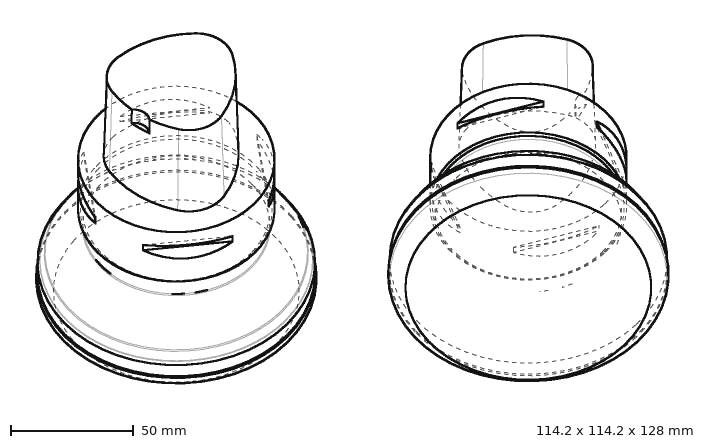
import cadquery as cq
import math

gauge_height = 80.04
shank_length = 48.0
top_height = gauge_height + shank_length

flange_radius = 80.0 / 2
flange_length = 30.0
flange_bottom = gauge_height - flange_length
flange_chamfer = 1.0
neck_radius = 76.0 / 2
neck_fillet = flange_radius - flange_chamfer - neck_radius
neck_bottom = 39.95
neck_blend = 1.0
shoulder_radius = 53.6
shoulder_height = 23.2
shoulder_blend = 2.0
rim_shoulder_radius = 55.5
rim_shoulder_height = 18.95
rim_shoulder_blend = 1.5
rim_radius = 112.93 / 2
rim_top = 17.6
select_margin = 0.01

ring_top = 10.8
ring_radius = 114.2 / 2
ring_face_radius = 50.0
nose_radius = 2.5
lead_angle = math.radians(45)
nose_center_radius = ring_radius - nose_radius
nose_end_radius = nose_center_radius + nose_radius * math.cos(lead_angle)
nose_end_height = (nose_end_radius - ring_face_radius) * math.tan(lead_angle)
nose_center_height = nose_end_height + nose_radius * math.sin(lead_angle)
nose_start_height = nose_center_height + math.sqrt(nose_radius**2 - (rim_radius - nose_center_radius) ** 2)

lobe_count = 3
first_lobe_angle = 90.0
lobe_reach = 29.65
flank_reach = 25.2
lobe_radius = 16.4
taper_per_side = 1 / 40

notch_radius = 6.6
notch_axis_distance = 28.6
notch_length = 8.0

slot_count = 4
first_slot_angle = 45.0
slot_depth = 4.5
slot_floor_width = 3.1
slot_wall_angle = 30.0
slot_center_height = gauge_height - 12.0


def polar(distance, degrees):
    angle = math.radians(degrees)
    return cq.Vector(distance * math.cos(angle), distance * math.sin(angle), 0)


def make_revolved_holder():
    neck_top = flange_bottom - flange_chamfer
    fillet_inset = neck_fillet * (1 - math.cos(math.radians(45)))
    profile = (
        cq.Workplane("XZ")
        .moveTo(0, ring_top)
        .lineTo(rim_radius, ring_top)
        .lineTo(rim_radius, rim_top)
        .lineTo(rim_shoulder_radius, rim_shoulder_height)
        .lineTo(shoulder_radius, shoulder_height)
        .lineTo(neck_radius, neck_bottom)
        .lineTo(neck_radius, neck_top - neck_fillet)
        .threePointArc(
            (neck_radius + fillet_inset, neck_top - fillet_inset),
            (neck_radius + neck_fillet, neck_top),
        )
        .lineTo(flange_radius, flange_bottom)
        .lineTo(flange_radius, gauge_height)
        .lineTo(0, gauge_height)
        .close()
    )
    body = profile.revolve(360, (0, 0, 0), (0, 1, 0))
    for height, radius in (
        (neck_bottom, neck_blend),
        (shoulder_height, shoulder_blend),
        (rim_shoulder_height, rim_shoulder_blend),
    ):
        edge_at_height = cq.selectors.BoxSelector(
            (-ring_radius, -ring_radius, height - select_margin),
            (ring_radius, ring_radius, height + select_margin),
        )
        body = body.edges(edge_at_height).fillet(radius)
    return body


def make_shank():
    lobe_center = lobe_reach - lobe_radius
    gap = flank_reach - lobe_radius
    flank_center = (lobe_center**2 - gap**2) / (2 * gap - lobe_center)
    flank_radius = flank_reach + flank_center

    pitch = 360 / lobe_count

    def joint(lobe_angle, side):
        lobe = polar(lobe_center, lobe_angle)
        flank = polar(-flank_center, lobe_angle + side * pitch / 2)
        return flank + (lobe - flank).normalized() * flank_radius

    outline = cq.Workplane("XY", origin=(0, 0, gauge_height))
    start = joint(first_lobe_angle, -1)
    outline = outline.moveTo(start.x, start.y)
    for index in range(lobe_count):
        angle = first_lobe_angle + index * pitch
        lobe_tip = polar(lobe_reach, angle)
        lobe_end = joint(angle, 1)
        flank_middle = polar(flank_reach, angle + pitch / 2)
        flank_end = joint(angle + pitch, -1)
        outline = outline.threePointArc(lobe_tip.toTuple()[:2], lobe_end.toTuple()[:2])
        outline = outline.threePointArc(flank_middle.toTuple()[:2], flank_end.toTuple()[:2])
    taper = math.degrees(math.atan(taper_per_side))
    return outline.close().extrude(shank_length, taper=taper)


def make_notch():
    return (
        cq.Workplane("XY", origin=(0, -notch_axis_distance, top_height - notch_length))
        .circle(notch_radius)
        .extrude(notch_length)
    )


def make_slot(angle):
    half_floor = slot_floor_width / 2
    half_mouth = half_floor + slot_depth * math.tan(math.radians(slot_wall_angle))
    floor_distance = flange_radius - slot_depth
    return (
        cq.Workplane("XZ", origin=(0, 0, slot_center_height))
        .polyline(
            [
                (floor_distance, -half_floor),
                (flange_radius, -half_mouth),
                (flange_radius, half_mouth),
                (floor_distance, half_floor),
            ]
        )
        .close()
        .extrude(flange_radius, both=True)
        .rotate((0, 0, 0), (0, 0, 1), angle)
    )


def make_holder():
    body = make_revolved_holder().union(make_shank()).cut(make_notch())
    for index in range(slot_count):
        body = body.cut(make_slot(first_slot_angle + index * 360 / slot_count))
    return body


def make_cutting_ring():
    return (
        cq.Workplane("XZ")
        .moveTo(0, 0)
        .lineTo(ring_face_radius, 0)
        .lineTo(nose_end_radius, nose_end_height)
        .threePointArc((ring_radius, nose_center_height), (rim_radius, nose_start_height))
        .lineTo(rim_radius, ring_top)
        .lineTo(0, ring_top)
        .close()
        .revolve(360, (0, 0, 0), (0, 1, 0))
    )


holder = make_holder()
cutting_ring = make_cutting_ring()

result = cq.Compound.makeCompound([holder.val(), cutting_ring.val()])